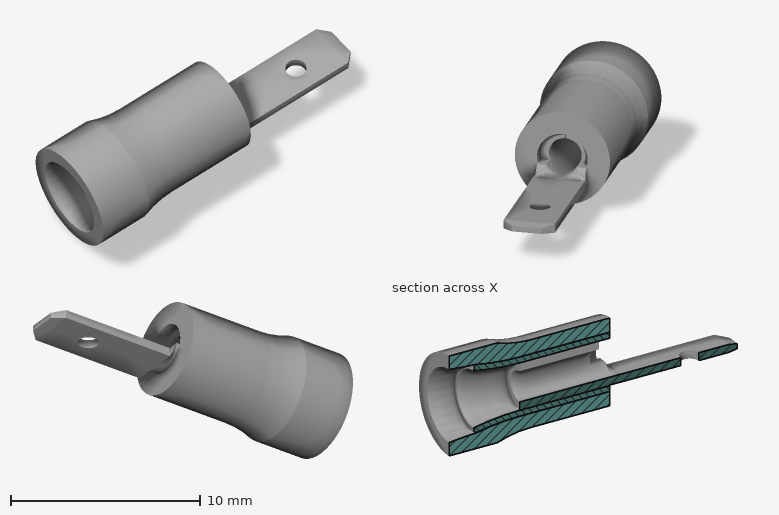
import cadquery as cq
import math


MOUTH_RADIUS = 5.88 / 2
MOUTH_BORE_RADIUS = 2.13
GRIP_RADIUS = 2.59
MOUTH_LENGTH = 3.02
TAPER_END = 5.08
HOUSING_LENGTH = 10.09

BARREL_BORE_RADIUS = 0.89
METAL_THICKNESS = 0.49
BARREL_RADIUS = BARREL_BORE_RADIUS + METAL_THICKNESS
BARREL_START = 4.43
BARREL_END = 9.4
SPLIT_WIDTH = 0.05
TROUGH_END = 10.29
TROUGH_RIM_Z = -0.36
TAB_START = 10.75
TAB_END = 18.08
TAB_HALF_WIDTH = 1.4
TAB_BOTTOM_Z = -BARREL_RADIUS
TAB_TOP_Z = TAB_BOTTOM_Z + METAL_THICKNESS
TIP_LENGTH = 0.58
TIP_HALF_WIDTH = 0.81
TIP_BEVEL = 0.09
TAB_HOLE_Y = 15.08
TAB_HOLE_RADIUS = 0.56

SLEEVE_WALL = 0.35
SLEEVE_RADIUS = BARREL_RADIUS + SLEEVE_WALL
FLARE_RISE = 0.29
FLARE_START = 1.54
FLARE_END = 4.43
FLARE_LENGTH = FLARE_END - FLARE_START
FLARE_INNER_ARC = (FLARE_LENGTH**2 + FLARE_RISE**2) / (2 * FLARE_RISE)
FLARE_OUTER_ARC = FLARE_INNER_ARC - SLEEVE_WALL
FLARE_ANGLE = math.asin(FLARE_LENGTH / FLARE_INNER_ARC)


def flare_point(arc_radius, angle):
    """Radius and Y of a point on one of the two concentric flare arcs."""
    centre_radius = BARREL_RADIUS + FLARE_INNER_ARC
    return (
        centre_radius - arc_radius * math.cos(angle),
        FLARE_END - arc_radius * math.sin(angle),
    )


FLARE_INNER_TIP = flare_point(FLARE_INNER_ARC, FLARE_ANGLE)
FLARE_INNER_MIDDLE = flare_point(FLARE_INNER_ARC, FLARE_ANGLE / 2)
FLARE_OUTER_TIP = flare_point(FLARE_OUTER_ARC, FLARE_ANGLE)
FLARE_OUTER_MIDDLE = flare_point(FLARE_OUTER_ARC, FLARE_ANGLE / 2)


def revolve_about_y(profile):
    return profile.close().revolve(360, (0, 0, 0), (0, 1, 0))


def section_plane(y):
    """Cross-section plane with local axes along X and Z, extruding towards +Y."""
    return cq.Workplane(cq.Plane((0, y, 0), xDir=(-1, 0, 0), normal=(0, 1, 0)))


def make_housing():
    """Insulator with a curved outer taper and a bore that fits the metal sleeve."""
    taper_length = TAPER_END - MOUTH_LENGTH
    taper_rise = MOUTH_RADIUS - GRIP_RADIUS
    taper_arc = (taper_length**2 + taper_rise**2) / (2 * taper_rise)
    half_angle = math.asin(taper_length / taper_arc) / 2
    taper_middle = (
        GRIP_RADIUS + taper_arc * (1 - math.cos(half_angle)),
        TAPER_END - taper_arc * math.sin(half_angle),
    )
    profile = (
        cq.Workplane("XY")
        .moveTo(MOUTH_BORE_RADIUS, 0)
        .lineTo(MOUTH_RADIUS, 0)
        .lineTo(MOUTH_RADIUS, MOUTH_LENGTH)
        .threePointArc(taper_middle, (GRIP_RADIUS, TAPER_END))
        .lineTo(GRIP_RADIUS, HOUSING_LENGTH)
        .lineTo(SLEEVE_RADIUS, HOUSING_LENGTH)
        .lineTo(SLEEVE_RADIUS, FLARE_END)
        .threePointArc(FLARE_OUTER_MIDDLE, FLARE_OUTER_TIP)
    )
    return revolve_about_y(profile)


def make_sleeve():
    """Constant-wall tube, flared at its front end."""
    profile = (
        cq.Workplane("XY")
        .moveTo(*FLARE_INNER_TIP)
        .lineTo(*FLARE_OUTER_TIP)
        .threePointArc(FLARE_OUTER_MIDDLE, (SLEEVE_RADIUS, FLARE_END))
        .lineTo(SLEEVE_RADIUS, HOUSING_LENGTH)
        .lineTo(BARREL_RADIUS, HOUSING_LENGTH)
        .lineTo(BARREL_RADIUS, FLARE_END)
        .threePointArc(FLARE_INNER_MIDDLE, FLARE_INNER_TIP)
    )
    return revolve_about_y(profile)


def make_barrel():
    """Tube split along its top, cut down to an open trough at its tab end."""
    length = TROUGH_END - BARREL_START
    tube = section_plane(BARREL_START).circle(BARREL_RADIUS).circle(BARREL_BORE_RADIUS).extrude(length)
    split = (
        cq.Workplane("XY")
        .box(SPLIT_WIDTH, length, BARREL_RADIUS, centered=(True, False, False))
        .translate((0, BARREL_START, 0))
    )
    trough_opening = (
        cq.Workplane("XY")
        .box(
            2 * BARREL_RADIUS,
            TROUGH_END - BARREL_END,
            BARREL_RADIUS - TROUGH_RIM_Z,
            centered=(True, False, False),
        )
        .translate((0, BARREL_END, TROUGH_RIM_Z))
    )
    return tube.cut(split).cut(trough_opening)


def trough_edges(y):
    """Edges of the open trough: outer arc, right rim, inner arc, left rim."""
    outer_x = math.sqrt(BARREL_RADIUS**2 - TROUGH_RIM_Z**2)
    inner_x = math.sqrt(BARREL_BORE_RADIUS**2 - TROUGH_RIM_Z**2)
    outer_left = cq.Vector(-outer_x, y, TROUGH_RIM_Z)
    outer_right = cq.Vector(outer_x, y, TROUGH_RIM_Z)
    inner_left = cq.Vector(-inner_x, y, TROUGH_RIM_Z)
    inner_right = cq.Vector(inner_x, y, TROUGH_RIM_Z)
    outer_bottom = cq.Vector(0, y, -BARREL_RADIUS)
    inner_bottom = cq.Vector(0, y, -BARREL_BORE_RADIUS)
    return [
        cq.Edge.makeThreePointArc(outer_left, outer_bottom, outer_right),
        cq.Edge.makeLine(outer_right, inner_right),
        cq.Edge.makeThreePointArc(inner_right, inner_bottom, inner_left),
        cq.Edge.makeLine(inner_left, outer_left),
    ]


def tab_edges(y):
    """Edges of the flat tab: bottom, right side, top, left side."""
    bottom_left = cq.Vector(-TAB_HALF_WIDTH, y, TAB_BOTTOM_Z)
    bottom_right = cq.Vector(TAB_HALF_WIDTH, y, TAB_BOTTOM_Z)
    top_right = cq.Vector(TAB_HALF_WIDTH, y, TAB_TOP_Z)
    top_left = cq.Vector(-TAB_HALF_WIDTH, y, TAB_TOP_Z)
    return [
        cq.Edge.makeLine(bottom_left, bottom_right),
        cq.Edge.makeLine(bottom_right, top_right),
        cq.Edge.makeLine(top_right, top_left),
        cq.Edge.makeLine(top_left, bottom_left),
    ]


def make_transition():
    """Solid that flattens the trough into the tab, with a ruled face between each pair of edges."""
    trough = trough_edges(TROUGH_END)
    tab = tab_edges(TAB_START)
    faces = [cq.Face.makeRuledSurface(start, end) for start, end in zip(trough, tab)]
    faces.append(cq.Face.makeFromWires(cq.Wire.assembleEdges(trough)))
    faces.append(cq.Face.makeFromWires(cq.Wire.assembleEdges(tab)))
    return cq.Workplane(cq.Solid.makeSolid(cq.Shell.makeShell(faces)))


def make_tab():
    """Flat blade with a tapered, bevelled tip and a round hole."""
    shoulder_y = TAB_END - TIP_LENGTH
    outline = (
        cq.Workplane("XY", origin=(0, 0, TAB_BOTTOM_Z))
        .moveTo(-TAB_HALF_WIDTH, TAB_START)
        .lineTo(TAB_HALF_WIDTH, TAB_START)
        .lineTo(TAB_HALF_WIDTH, shoulder_y)
        .lineTo(TIP_HALF_WIDTH, TAB_END)
        .lineTo(-TIP_HALF_WIDTH, TAB_END)
        .lineTo(-TAB_HALF_WIDTH, shoulder_y)
        .close()
        .extrude(METAL_THICKNESS)
    )
    side_profile = (
        cq.Workplane("YZ")
        .moveTo(TAB_START, TAB_BOTTOM_Z)
        .lineTo(shoulder_y, TAB_BOTTOM_Z)
        .lineTo(TAB_END, TAB_BOTTOM_Z + TIP_BEVEL)
        .lineTo(TAB_END, TAB_TOP_Z - TIP_BEVEL)
        .lineTo(shoulder_y, TAB_TOP_Z)
        .lineTo(TAB_START, TAB_TOP_Z)
        .close()
        .extrude(TAB_HALF_WIDTH, both=True)
    )
    hole = (
        cq.Workplane("XY", origin=(0, TAB_HOLE_Y, TAB_BOTTOM_Z))
        .circle(TAB_HOLE_RADIUS)
        .extrude(METAL_THICKNESS)
    )
    return outline.intersect(side_profile).cut(hole)


def make_terminal():
    return make_tab().union(make_transition()).union(make_barrel())


housing = make_housing()
sleeve = make_sleeve()
terminal = make_terminal()

result = cq.Compound.makeCompound([housing.val(), sleeve.val(), terminal.solids().val()])